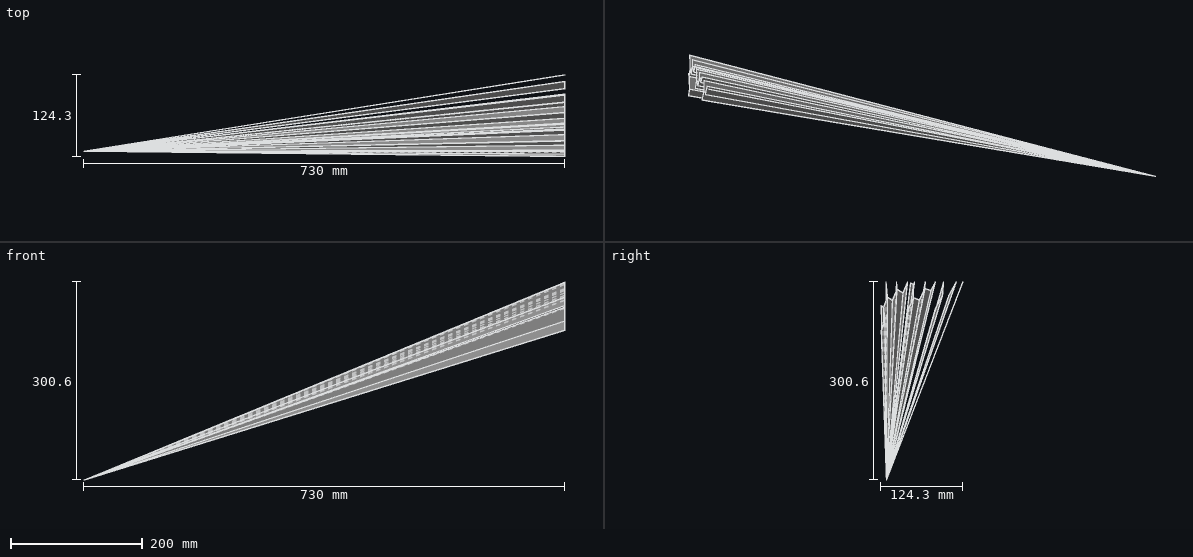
import cadquery as cq
import math

LENGTH = 730.0
TOP_Z = 300.61
SPAN_Y = 124.26
THICKNESS = 0.24
MAX_Y = 116.10
MIN_Y = MAX_Y - SPAN_Y
TIP_LENGTH = 16.0

APEX = cq.Vector(0, 0, 0)


def slope_shift(drop, angle):
    """Sideways run of a plate that falls by drop at an angle from +Y, in degrees."""
    return drop / math.tan(math.radians(angle))


def below(start, drop, angle):
    """End of a plate falling from start; points are (y, depth below the top cut)."""
    y, depth = start
    return (y - slope_shift(drop, angle), depth + drop)


def above(start, rise, angle):
    """End of a plate rising from start."""
    return below(start, -rise, angle)


def to_top(start, angle):
    """Point where a plate rising from start meets the top cut."""
    return above(start, start[1], angle)


def pyramid(outline, length=LENGTH):
    """Solid from the apex to a flat outline given at the wide end, stopped at length."""
    scale = length / LENGTH
    base = [cq.Vector(length, y * scale, (TOP_Z - depth) * scale) for y, depth in outline]
    faces = [cq.Face.makeFromWires(cq.Wire.makePolygon(base, close=True))]
    for first, second in zip(base, base[1:] + base[:1]):
        side = cq.Wire.makePolygon([APEX, first, second], close=True)
        faces.append(cq.Face.makeFromWires(side))
    return cq.Workplane(cq.Solid.makeSolid(cq.Shell.makeShell(faces)))


def plate(start, end):
    """Tapered plate whose middle line at the wide end runs from start to end."""
    half = THICKNESS / 2
    outline = [
        (start[0] - half, start[1]),
        (start[0] + half, start[1]),
        (end[0] + half, end[1]),
        (end[0] - half, end[1]),
    ]
    return pyramid(outline)


def fan(segments):
    """One body made of all the plates in segments."""
    body = plate(*segments[0])
    for start, end in segments[1:]:
        body = body.union(plate(start, end))
    return body


near_fin_tip = (MIN_Y + THICKNESS / 2, 35.42)
near_fin_root = below(near_fin_tip, 2.80, 143.62)
near_ridge_low = above(near_fin_root, 15.60, 69.45)
near_hanging_end = below(near_fin_root, 20.68, 96.17)
near_bottom = below(near_hanging_end, 14.30, 67.83)
near_valley_low = below(near_ridge_low, 4.95, 146.97)
near_ridge_high = above(near_valley_low, 16.90, 67.67)
near_valley_high = below(near_ridge_high, 5.55, 148.70)
near_fan = fan(
    [
        (to_top(near_valley_high, 67.12), near_valley_high),
        (near_ridge_high, near_valley_high),
        (to_top(near_ridge_high, 93.83), near_ridge_high),
        (near_ridge_high, near_valley_low),
        (near_ridge_low, near_valley_low),
        (to_top(near_ridge_low, 95.38), near_ridge_low),
        (near_ridge_low, near_fin_root),
        (near_fin_tip, near_fin_root),
        (near_fin_root, near_hanging_end),
        (near_hanging_end, near_bottom),
    ]
)

middle_valley_high = (67.80, 12.65)
middle_ridge_high = above(middle_valley_high, 3.10, 161.22)
middle_valley_low = below(middle_ridge_high, 17.55, 63.83)
middle_ridge_low = above(middle_valley_low, 3.70, 157.05)
middle_fin_root = above(middle_ridge_low, 20.02, 90.45)
middle_fin_tip = above(middle_fin_root, 2.20, 153.75)
middle_bottom = below(middle_ridge_low, 16.23, 65.12)
middle_fan = fan(
    [
        (to_top(middle_valley_high, 62.95), middle_valley_high),
        (middle_ridge_high, middle_valley_high),
        (to_top(middle_ridge_high, 88.03), middle_ridge_high),
        (middle_ridge_high, middle_valley_low),
        (middle_ridge_low, middle_valley_low),
        (middle_fin_root, middle_ridge_low),
        (to_top(middle_fin_root, 64.88), middle_fin_root),
        (middle_fin_tip, middle_fin_root),
        (middle_ridge_low, middle_bottom),
    ]
)

far_bend_top = (86.83, 0.00)
far_bend = below(far_bend_top, 20.20, 85.67)
far_bend_bottom = below(far_bend, 19.20, 60.83)
far_plate_top = (106.00, 0.00)
far_plate_bottom = below(far_plate_top, 19.77, 60.85)
needle_top = (MAX_Y - THICKNESS / 2, 0.00)
needle_bottom = below(needle_top, 0.15, 65.50)
far_tip = pyramid([far_bend_top, far_bend_bottom, far_plate_bottom, needle_bottom, needle_top], TIP_LENGTH)
far_fan = far_tip.union(
    fan([(far_bend_top, far_bend), (far_bend, far_bend_bottom)])
)
far_fan = far_fan.union(plate(far_plate_top, far_plate_bottom))
far_fan = far_fan.union(plate(needle_top, needle_bottom))

result = cq.Compound.makeCompound([*near_fan.vals(), *middle_fan.vals(), *far_fan.vals()])